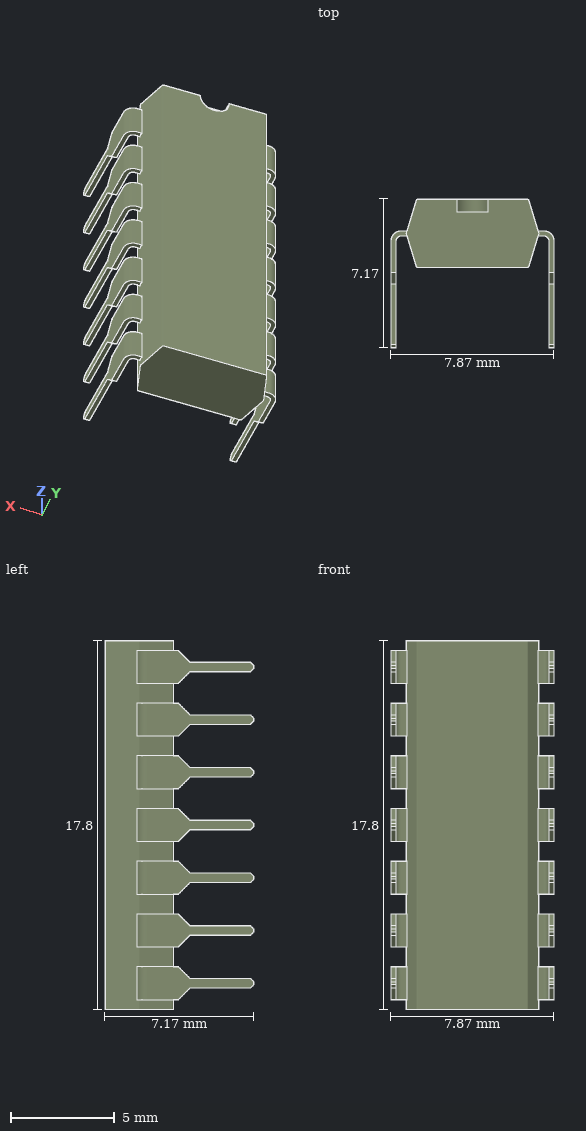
import cadquery as cq

BODY_LENGTH = 17.78
BODY_WAIST_WIDTH = 6.4
BODY_FACE_WIDTH = 5.4
BODY_DEPTH = 3.3
BODY_EDGE_RADIUS = 0.1

NOTCH_DIAMETER = 1.5
NOTCH_DEPTH = 0.62

LEADS_PER_SIDE = 7
LEAD_PITCH = 2.54
LEAD_SPAN = 7.87
LEAD_THICKNESS = 0.254
LEAD_BEND_RADIUS = 0.5
LEAD_SHOULDER_WIDTH = 1.6
LEAD_TAIL_WIDTH = 0.47
LEAD_SHOULDER_DROP = 2.0
LEAD_TIP_CHAMFER = 0.17
LEAD_EMBED = 0.5

OVERALL_DEPTH = 7.17

BODY_TOP_Y = BODY_DEPTH / 2
BODY_BOTTOM_Y = -BODY_DEPTH / 2
SHELF_TOP_Y = LEAD_THICKNESS / 2
TIP_Y = BODY_TOP_Y - OVERALL_DEPTH
LEAD_OUTER_X = LEAD_SPAN / 2


def make_body():
    half_waist = BODY_WAIST_WIDTH / 2
    half_face = BODY_FACE_WIDTH / 2
    section = [
        (-half_face, BODY_TOP_Y),
        (half_face, BODY_TOP_Y),
        (half_waist, 0),
        (half_face, BODY_BOTTOM_Y),
        (-half_face, BODY_BOTTOM_Y),
        (-half_waist, 0),
    ]
    body = cq.Workplane("XY").polyline(section).close().extrude(BODY_LENGTH / 2, both=True)
    return body.edges("|Z").fillet(BODY_EDGE_RADIUS)


def cut_notch(body):
    cutter = (
        cq.Workplane("XZ", origin=(0, BODY_TOP_Y, BODY_LENGTH / 2))
        .circle(NOTCH_DIAMETER / 2)
        .extrude(NOTCH_DEPTH)
    )
    return body.cut(cutter)


def make_lead():
    """One lead on the +X side, centred on Z = 0."""
    inner_x = BODY_WAIST_WIDTH / 2 - LEAD_EMBED
    inside_face_x = LEAD_OUTER_X - LEAD_THICKNESS
    inner_radius = LEAD_BEND_RADIUS - LEAD_THICKNESS
    bend_x = LEAD_OUTER_X - LEAD_BEND_RADIUS
    bend_y = SHELF_TOP_Y - LEAD_BEND_RADIUS
    strip = (
        cq.Workplane("XY")
        .moveTo(inner_x, SHELF_TOP_Y)
        .lineTo(bend_x, SHELF_TOP_Y)
        .radiusArc((LEAD_OUTER_X, bend_y), LEAD_BEND_RADIUS)
        .lineTo(LEAD_OUTER_X, TIP_Y)
        .lineTo(inside_face_x, TIP_Y)
        .lineTo(inside_face_x, bend_y)
        .radiusArc((bend_x, bend_y + inner_radius), -inner_radius)
        .lineTo(inner_x, bend_y + inner_radius)
        .close()
        .extrude(LEAD_SHOULDER_WIDTH / 2, both=True)
    )

    half_shoulder = LEAD_SHOULDER_WIDTH / 2
    half_tail = LEAD_TAIL_WIDTH / 2
    shoulder_y = SHELF_TOP_Y - LEAD_SHOULDER_DROP
    tail_y = shoulder_y - (half_shoulder - half_tail)
    one_edge = [
        (SHELF_TOP_Y, half_shoulder),
        (shoulder_y, half_shoulder),
        (tail_y, half_tail),
        (TIP_Y + LEAD_TIP_CHAMFER, half_tail),
        (TIP_Y, half_tail - LEAD_TIP_CHAMFER),
    ]
    other_edge = [(y, -z) for y, z in reversed(one_edge)]
    blank = cq.Workplane("YZ").polyline(one_edge + other_edge).close().extrude(LEAD_OUTER_X)
    return strip.intersect(blank)


def add_leads(body):
    right_lead = make_lead()
    left_lead = right_lead.mirror("YZ")
    first_z = -LEAD_PITCH * (LEADS_PER_SIDE - 1) / 2
    for index in range(LEADS_PER_SIDE):
        offset = (0, 0, first_z + index * LEAD_PITCH)
        body = body.union(right_lead.translate(offset))
        body = body.union(left_lead.translate(offset))
    return body


result = add_leads(cut_notch(make_body()))